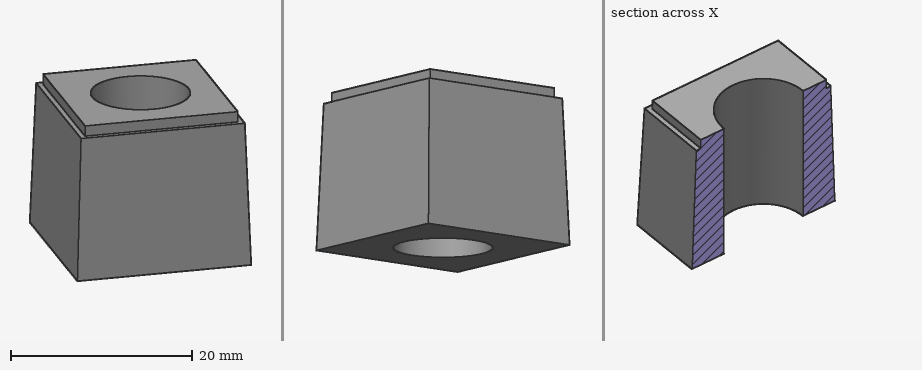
import cadquery as cq
import math

base_width = 19.91
total_height = 17.7

lip_width = 17.5
lip_height = 1.2

draft_angle = 2.0
body_height = total_height - lip_height
shoulder_width = base_width - 2 * body_height * math.tan(math.radians(draft_angle))

bore_diameter = 11.0


def tapered_body():
    """Square frustum, widest at the bottom, standing on Z = 0."""
    return (
        cq.Workplane("XY")
        .rect(base_width, base_width)
        .workplane(offset=body_height)
        .rect(shoulder_width, shoulder_width)
        .loft(ruled=True)
    )


def top_lip():
    """Straight-sided square block on the shoulder of the body."""
    return (
        cq.Workplane("XY")
        .workplane(offset=body_height)
        .rect(lip_width, lip_width)
        .extrude(lip_height)
    )


def bore():
    """Cylinder that cuts the central through hole."""
    return cq.Workplane("XY").circle(bore_diameter / 2).extrude(total_height)


result = tapered_body().union(top_lip()).cut(bore())